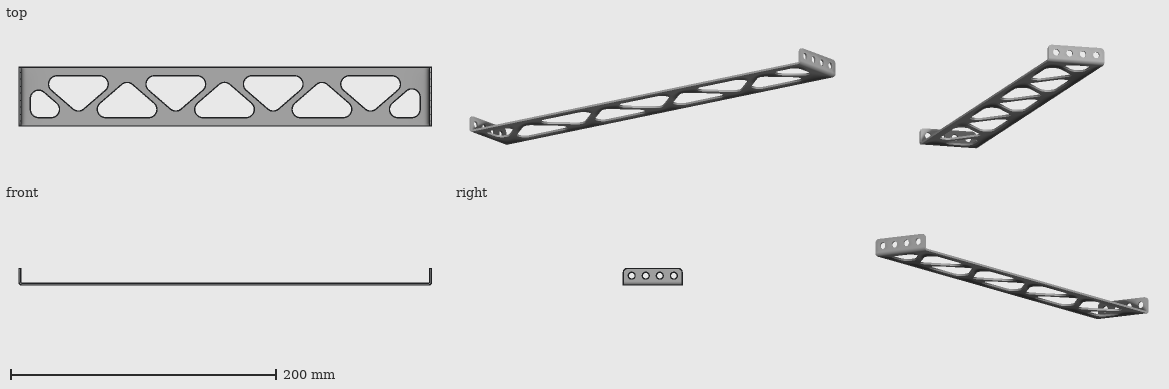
import cadquery as cq

LENGTH = 311.0
WIDTH = 44.5
HEIGHT = 12.8
THICKNESS = 1.5
INNER_BEND_RADIUS = 1.0
FLANGE_CORNER_RADIUS = 3.0

WINDOW_PITCH = 36.7
MIDDLE_WINDOW_X = -0.55
WINDOW_CORNER_RADIUS = 6.2
WINDOW_EDGE_MARGIN = 6.5
CORNER_HALF_SPACING = 16.2
CORNER_RISE = 14.0
END_WINDOW_MARGIN = 8.7
WINDOWS_PER_SIDE = 3

HOLE_DIAMETER = 5.0
HOLE_PITCH = 10.5
HOLE_COUNT = 4
HOLE_HEIGHT = 7.2

BASE_CORNER_Y = -WIDTH / 2 + WINDOW_EDGE_MARGIN + WINDOW_CORNER_RADIUS


def bent_strip():
    """Strip of constant thickness with rounded bends and rounded flange corners."""
    outer = cq.Workplane("XY").box(LENGTH, WIDTH, HEIGHT, centered=(True, True, False))
    outer = outer.edges("|Y and <Z").fillet(INNER_BEND_RADIUS + THICKNESS)
    outer = outer.edges("|X and >Z").fillet(FLANGE_CORNER_RADIUS)
    inner = (
        cq.Workplane("XY")
        .workplane(offset=THICKNESS)
        .box(LENGTH - 2 * THICKNESS, WIDTH, HEIGHT, centered=(True, True, False))
        .edges("|Y and <Z")
        .fillet(INNER_BEND_RADIUS)
    )
    return outer.cut(inner)


def window_cutter(corner_centres):
    """Cutter with round corners about the given centres, through the strip."""
    return (
        cq.Workplane("XY")
        .polyline(corner_centres)
        .close()
        .offset2D(WINDOW_CORNER_RADIUS)
        .extrude(THICKNESS)
    )


def full_window(x, direction):
    """Triangular window at x, with its tip towards +Y (direction 1) or -Y (direction -1)."""
    base_y = direction * BASE_CORNER_Y
    tip_y = direction * (BASE_CORNER_Y + CORNER_RISE)
    return window_cutter([
        (x - CORNER_HALF_SPACING, base_y),
        (x + CORNER_HALF_SPACING, base_y),
        (x, tip_y),
    ])


def end_window(side):
    """Next window of the row, cut short by an edge parallel to the flange."""
    row_x = MIDDLE_WINDOW_X + side * (WINDOWS_PER_SIDE + 1) * WINDOW_PITCH
    inner_x = row_x - side * CORNER_HALF_SPACING
    outer_x = side * (LENGTH / 2 - END_WINDOW_MARGIN - WINDOW_CORNER_RADIUS)
    slope = CORNER_RISE / CORNER_HALF_SPACING
    upper_y = BASE_CORNER_Y + slope * abs(outer_x - inner_x)
    return window_cutter([
        (inner_x, BASE_CORNER_Y),
        (outer_x, BASE_CORNER_Y),
        (outer_x, upper_y),
    ])


def flange_holes():
    """Row of hole cutters running along X through both flanges."""
    return (
        cq.Workplane("YZ", origin=(0, 0, HOLE_HEIGHT))
        .rarray(HOLE_PITCH, 3, HOLE_COUNT, 1)
        .circle(HOLE_DIAMETER / 2)
        .extrude(LENGTH / 2, both=True)
    )


def window_row():
    """All the window cutters, in their place along the strip."""
    row = end_window(-1).add(end_window(1))
    for index in range(-WINDOWS_PER_SIDE, WINDOWS_PER_SIDE + 1):
        tip_direction = 1 if index % 2 == 0 else -1
        row = row.add(full_window(MIDDLE_WINDOW_X + index * WINDOW_PITCH, tip_direction))
    return row.combine()


result = bent_strip().cut(flange_holes()).cut(window_row())